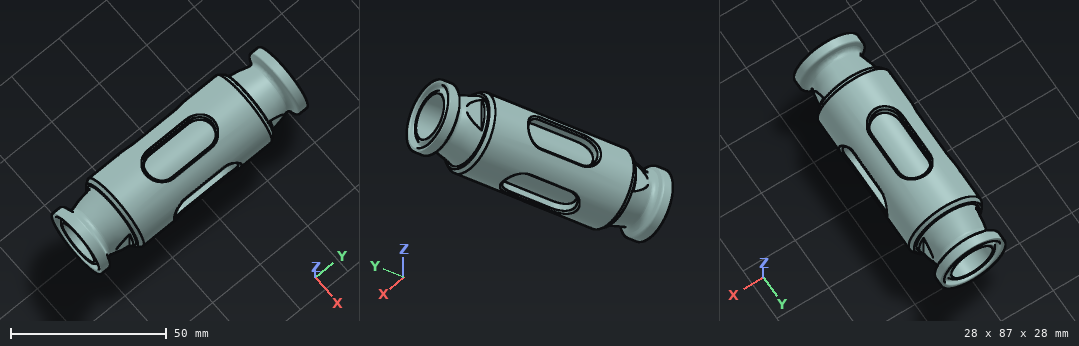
import cadquery as cq
import math


TOTAL_LENGTH = 87.0
BORE_RADIUS = 7.9

TOLERANCE = 0.001

FERRULE_LENGTH = 15.0
SLEEVE_LENGTH = TOTAL_LENGTH - 2 * FERRULE_LENGTH
SLEEVE_RADIUS = 14.0
SLEEVE_CHAMFER_DEPTH = 1.6
SLEEVE_CHAMFER_RISE = 1.05
WINDOW_COUNT = 4
WINDOW_LENGTH = 27.0
WINDOW_WIDTH = 11.1
WINDOW_CHAMFER = 0.8

TUBE_RADIUS = 10.6

FLANGE_RADIUS = 12.5
FLANGE_RIM_DEPTH = 3.7
FLANGE_BACK_SLOPE = math.radians(70)
FLANGE_FACE_FILLET = 0.2
FLANGE_BACK_FILLET = 0.8
NECK_RADIUS = 9.6
NECK_FILLET = 1.9
CONE_START_DEPTH = 6.4
CONE_ANGLE = math.radians(16)
CONE_START_FILLET = 1.7
FLAT_DISTANCE = 10.0
FLAT_END_DEPTH = 13.9

GROOVE_OUTER_RADIUS = 10.9
GROOVE_EDGE_FILLET = 0.5
GROOVE_WALL_DEPTH = 1.3
GROOVE_FLOOR_RADIUS = 0.8
GROOVE_INNER_SLOPE = math.radians(55)
LIP_DEPTH = 0.7
LIP_FILLET = 0.3


def revolve_about_axis(profile):
    """Turn a closed profile drawn with (Y, radius) coordinates about the Y axis."""
    return profile.close().revolve(360, (0, 0, 0), (1, 0, 0))


def fillet_ring(body, depth, radius, fillet_radius):
    """Round the circular edge of the given radius at Y = depth."""
    ring = [
        edge
        for edge in body.edges("%CIRCLE").vals()
        if abs(edge.Center().y - depth) < TOLERANCE and abs(edge.radius() - radius) < TOLERANCE
    ]
    return body.newObject(ring).fillet(fillet_radius)


def make_tube():
    return (
        cq.Workplane("XZ")
        .circle(TUBE_RADIUS)
        .circle(BORE_RADIUS)
        .extrude(SLEEVE_LENGTH)
        .translate((0, SLEEVE_LENGTH / 2, 0))
    )


def make_window_cutter():
    """A rounded slot rising from the axis through the +Z side of the sleeve."""
    return (
        cq.Workplane("XY")
        .slot2D(WINDOW_LENGTH, WINDOW_WIDTH, 90)
        .extrude(2 * SLEEVE_RADIUS)
    )


def lies_on_sleeve_surface(edge):
    samples = edge.positions([0, 0.3, 0.7])
    return all(abs(math.hypot(point.x, point.z) - SLEEVE_RADIUS) < TOLERANCE for point in samples)


def chamfer_window_rims(sleeve):
    """Bevel the edges where the windows meet the outer cylinder."""
    rims = [
        edge
        for edge in sleeve.edges().vals()
        if abs(edge.Center().y) < WINDOW_LENGTH / 2 and lies_on_sleeve_surface(edge)
    ]
    return sleeve.newObject(rims).chamfer(WINDOW_CHAMFER)


def make_sleeve():
    end = SLEEVE_LENGTH / 2
    chamfer_start = end - SLEEVE_CHAMFER_DEPTH
    rim_radius = SLEEVE_RADIUS - SLEEVE_CHAMFER_RISE
    sleeve = revolve_about_axis(
        cq.Workplane("YZ")
        .moveTo(-end, TUBE_RADIUS)
        .lineTo(-end, rim_radius)
        .lineTo(-chamfer_start, SLEEVE_RADIUS)
        .lineTo(chamfer_start, SLEEVE_RADIUS)
        .lineTo(end, rim_radius)
        .lineTo(end, TUBE_RADIUS)
    )
    cutter = make_window_cutter()
    for index in range(WINDOW_COUNT):
        sleeve = sleeve.cut(cutter.rotate((0, 0, 0), (0, 1, 0), index * 360 / WINDOW_COUNT))
    return chamfer_window_rims(sleeve)


def make_ferrule_blank():
    """Flange, neck and cone with sharp edges, the flange face at Y = 0 and the sleeve end at +Y."""
    neck_depth = FLANGE_RIM_DEPTH + (FLANGE_RADIUS - NECK_RADIUS) / math.tan(FLANGE_BACK_SLOPE)
    cone_rise = (FERRULE_LENGTH - CONE_START_DEPTH) * math.tan(CONE_ANGLE)
    blank = revolve_about_axis(
        cq.Workplane("YZ")
        .moveTo(0, BORE_RADIUS)
        .lineTo(0, FLANGE_RADIUS)
        .lineTo(FLANGE_RIM_DEPTH, FLANGE_RADIUS)
        .lineTo(neck_depth, NECK_RADIUS)
        .lineTo(CONE_START_DEPTH, NECK_RADIUS)
        .lineTo(FERRULE_LENGTH, NECK_RADIUS + cone_rise)
        .lineTo(FERRULE_LENGTH, BORE_RADIUS)
    )
    blank = fillet_ring(blank, 0, FLANGE_RADIUS, FLANGE_FACE_FILLET)
    blank = fillet_ring(blank, FLANGE_RIM_DEPTH, FLANGE_RADIUS, FLANGE_BACK_FILLET)
    blank = fillet_ring(blank, neck_depth, NECK_RADIUS, NECK_FILLET)
    return fillet_ring(blank, CONE_START_DEPTH, NECK_RADIUS, CONE_START_FILLET)


def cut_gasket_groove(ferrule):
    floor_center_radius = GROOVE_OUTER_RADIUS - GROOVE_FLOOR_RADIUS
    slope_start_radius = floor_center_radius - GROOVE_FLOOR_RADIUS * math.sin(GROOVE_INNER_SLOPE)
    slope_start_depth = GROOVE_WALL_DEPTH + GROOVE_FLOOR_RADIUS * math.cos(GROOVE_INNER_SLOPE)
    lip_radius = slope_start_radius - (slope_start_depth - LIP_DEPTH) / math.tan(GROOVE_INNER_SLOPE)
    cutter = revolve_about_axis(
        cq.Workplane("YZ")
        .moveTo(0, BORE_RADIUS)
        .lineTo(LIP_DEPTH, BORE_RADIUS)
        .lineTo(LIP_DEPTH, lip_radius)
        .lineTo(slope_start_depth, slope_start_radius)
        .threePointArc(
            (GROOVE_WALL_DEPTH + GROOVE_FLOOR_RADIUS, floor_center_radius),
            (GROOVE_WALL_DEPTH, GROOVE_OUTER_RADIUS),
        )
        .lineTo(0, GROOVE_OUTER_RADIUS)
    )
    ferrule = ferrule.cut(cutter)
    ferrule = fillet_ring(ferrule, 0, GROOVE_OUTER_RADIUS, GROOVE_EDGE_FILLET)
    return fillet_ring(ferrule, LIP_DEPTH, lip_radius, LIP_FILLET)


def make_flat_cutter():
    """Block outside the +X wrench flat, from the start of the cone to the end of the flat."""
    return (
        cq.Workplane("XY")
        .box(
            SLEEVE_RADIUS,
            FLAT_END_DEPTH - CONE_START_DEPTH,
            2 * SLEEVE_RADIUS,
            centered=(False, False, True),
        )
        .translate((FLAT_DISTANCE, CONE_START_DEPTH, 0))
    )


def make_ferrule():
    """Ferrule of the -Y end, in place."""
    flat_cutter = make_flat_cutter()
    return (
        cut_gasket_groove(make_ferrule_blank())
        .cut(flat_cutter)
        .cut(flat_cutter.mirror("YZ"))
        .translate((0, -TOTAL_LENGTH / 2, 0))
    )


sleeve = make_sleeve()
tube = make_tube()
ferrules = [make_ferrule().rotate((0, 0, 0), (0, 0, 1), angle) for angle in (0, 180)]

result = cq.Compound.makeCompound([sleeve.val(), tube.val(), *[ferrule.val() for ferrule in ferrules]])